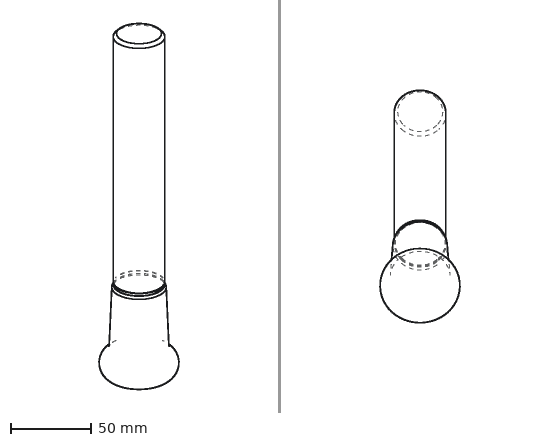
import cadquery as cq
import math

total_length = 240.0
knob_diameter = 50.0

rim_radius = 10.0
rim_center_r = knob_diameter / 2 - rim_radius
rim_center_z = rim_radius

grip_base_radius = 18.7
grip_top_radius = 17.0
grip_top_z = 64.5
grip_rim_radius = 32.0 / 2
grip_chamfer_height = 1.7
knob_fillet_radius = 4.0

rod_radius = 32.5 / 2
neck_radius = 31.2 / 2
neck_top_z = 66.5
rod_chamfer = 2.2


def point_on_arc(center_r, center_z, radius, angle):
    return (center_r + radius * math.cos(angle), center_z + radius * math.sin(angle))


def revolve_about_z(profile):
    return profile.close().revolve(360, (0, 0, 0), (0, 1, 0))


def make_handle():
    """Knob and tapered grip, blended by a concave fillet between rim and grip."""
    fillet_center_r = grip_base_radius + knob_fillet_radius
    center_distance = rim_radius + knob_fillet_radius
    rim_end_angle = math.acos((fillet_center_r - rim_center_r) / center_distance)
    fillet_center_z = rim_center_z + center_distance * math.sin(rim_end_angle)

    rim_side = point_on_arc(rim_center_r, rim_center_z, rim_radius, 0)
    rim_end = point_on_arc(rim_center_r, rim_center_z, rim_radius, rim_end_angle)
    fillet_start_angle = rim_end_angle + math.pi
    fillet_middle_angle = (fillet_start_angle + math.pi) / 2
    fillet_middle = point_on_arc(fillet_center_r, fillet_center_z, knob_fillet_radius, fillet_middle_angle)

    profile = (
        cq.Workplane("XZ")
        .lineTo(rim_center_r, 0)
        .threePointArc(rim_side, rim_end)
        .threePointArc(fillet_middle, (grip_base_radius, fillet_center_z))
        .lineTo(grip_top_radius, grip_top_z - grip_chamfer_height)
        .lineTo(grip_rim_radius, grip_top_z)
        .lineTo(0, grip_top_z)
    )
    return revolve_about_z(profile)


def make_rod():
    """Straight rod with a chamfered top and a slightly thinner neck resting on the grip."""
    profile = (
        cq.Workplane("XZ")
        .moveTo(0, grip_top_z)
        .lineTo(neck_radius, grip_top_z)
        .lineTo(neck_radius, neck_top_z)
        .lineTo(rod_radius, neck_top_z)
        .lineTo(rod_radius, total_length - rod_chamfer)
        .lineTo(rod_radius - rod_chamfer, total_length)
        .lineTo(0, total_length)
    )
    return revolve_about_z(profile)


handle = make_handle()
rod = make_rod()

result = cq.Compound.makeCompound([handle.val(), rod.val()])